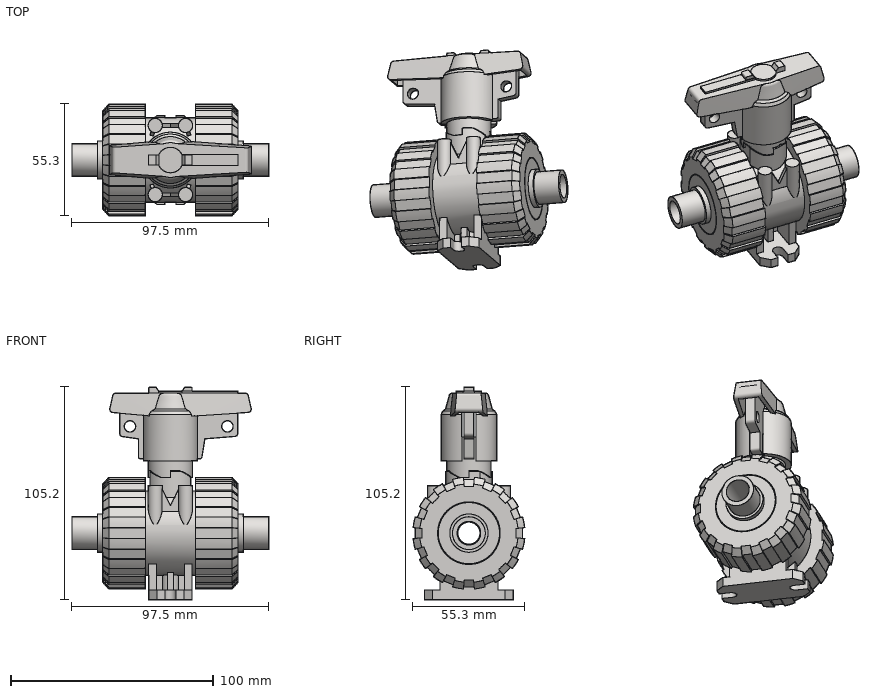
import cadquery as cq
import math

overall_length = 97.5
overall_height = 105.17
base_bottom = -33.0
handle_top = base_bottom + overall_height
body_bore_diameter = 10.9
connector_bore_diameter = 11.7

barrel_diameter = 41.97
barrel_half_length = 24.0
neck_diameter = 23.1
neck_flat_width = 20.2
column_diameter = 7.0
column_top = 23.45
column_x = 7.5
column_y = 17.1
web_thickness = 1.8
notch_apex = 13.6
notch_half_width = 4.9
gusset_length = 5.9
gusset_top = 20.5
gusset_foot = 16.0
gusset_direction = (0.34, -0.94)

cam_low = 27.4
cam_high = 30.9
cam_gap = 0.4
cam_count = 4
cam_mid_angle = 46.0
cam_ramp_half_width = 4.1

foot_half_x = 10.8
foot_half_y = 22.0
foot_thickness = 4.9
foot_chamfer = 4.1
slot_diameter = 5.5
slot_center_y = 16.5
leg_inner_x = 7.0
leg_half_y = 14.4
boss_diameter = 8.6
rib_thickness = 3.1
rib_half_y = 8.0

nut_inner_x = 12.35
nut_outer_x = 33.55
nut_segments = 32
segment_angle = 360.0 / nut_segments
nut_core_radius = 26.7
nut_tooth_radius = 27.76
nut_chamfer_length = 3.1
nut_chamfer_depth = 3.4
nut_lip_diameter = 31.0

connector_diameter = 30.3
collar_diameter = 18.95
collar_outer_x = 36.1
pipe_diameter = 16.25

stem_diameter = 22.0
stem_top = 47.6
hub_radius = 13.8
hub_bottom = 35.7
hub_shoulder_bottom = 58.8
hub_shoulder_top = 61.4
hub_shoulder_edge_radius = 12.85
hub_shoulder_edge_z = 60.4
cone_base_radius = 11.6
cone_top_radius = 9.8
cone_crown_radius = 8.6
cone_crown_bottom = 68.0
bar_top = 69.3
bar_bottom = 58.0
bar_end_bottom = 59.8
bar_slope_left_x = -10.5
bar_slope_right_x = 13.0
bar_left_x = -30.4
bar_right_x = 40.4
bar_end_lean = 2.1
bar_left_half_y = 7.45
bar_right_narrowing = 0.3
bar_middle_half_y = 9.85
bar_top_left_half_y = 6.15
bar_top_middle_half_y = 8.3
bar_edge_radius = 1.7
bar_wall = 2.0
bar_roof = 3.0
hub_slot_width = 7.0
fin_thickness = 5.0
fin_left_x = -25.1
fin_right_x = 33.4
lug_bottom = 47.9
lug_root = 46.6
skirt_bottom = 36.7
skirt_left_x = -15.9
skirt_right_x = 15.5
lug_root_right_x = 17.1
fin_hole_diameter = 5.5
fin_hole_z = 52.8
fin_hole_left_x = -20.0
fin_hole_right_x = 28.2
fin_corner_radius = 1.2
lug_corner_radius = 1.6
disc_diameter = 12.6
raised_top = 70.3
tab_inner_x = 5.7
tab_crest_x = 7.1
tab_outer_x = 10.8
tab_width = 5.0
tab_edge_radius = 0.6
strip_width = 5.6

far = 100.0
margin = 0.1
overlap = 1.0


def x_cylinder(diameter, x_start, x_end):
    """Solid cylinder on the pipe axis between two X positions."""
    return cq.Workplane("YZ", origin=(x_start, 0, 0)).circle(diameter / 2).extrude(x_end - x_start)


def z_cylinder(diameter, bottom, top, x=0, y=0):
    """Solid upright cylinder between two heights."""
    return cq.Workplane("XY", origin=(x, y, bottom)).circle(diameter / 2).extrude(top - bottom)


def block(x_range, y_range, z_range):
    """Axis-aligned block given by its limits."""
    lengths = [high - low for low, high in (x_range, y_range, z_range)]
    corner = (x_range[0], y_range[0], z_range[0])
    return cq.Workplane("XY").box(*lengths, centered=False).translate(corner)


def xz_plate(points, thickness, y=0):
    """Polygon in the XZ plane, extruded evenly to both sides of the given Y."""
    return cq.Workplane("XZ", origin=(0, y, 0)).polyline(points).close().extrude(thickness / 2, both=True)


def make_cam_teeth(radius):
    """Four teeth on top of the neck, each with a steep step and a planar ramp."""
    profile = [
        (-radius, cam_low),
        (-radius, cam_high),
        (-cam_ramp_half_width, cam_high),
        (cam_ramp_half_width, cam_low),
    ]
    quarter = block((0, radius), (0, radius), (cam_low, cam_high))
    ramp = cq.Workplane("XZ").polyline(profile).close().extrude(radius)
    tooth = ramp.rotate((0, 0, 0), (0, 0, 1), 90 + cam_mid_angle).intersect(quarter)
    tooth = tooth.intersect(z_cylinder(2 * radius, cam_low, cam_high))
    teeth = tooth
    for index in range(1, cam_count):
        teeth = teeth.union(tooth.rotate((0, 0, 0), (0, 0, 1), index * 360 / cam_count))
    return teeth


def make_neck():
    """Round neck with two flats, topped by the cam teeth, whose crests stop short of the stem."""
    valleys = z_cylinder(2 * neck_diameter, cam_low, cam_high).cut(make_cam_teeth(neck_diameter))
    neck = z_cylinder(neck_diameter, 0, cam_high - cam_gap).cut(valleys)
    half_flat = neck_flat_width / 2
    return neck.intersect(block((-half_flat, half_flat), (-far, far), (0, far)))


def make_gusset():
    """Small sloping rib that leans on the column at +X, +Y and points toward the neck."""
    profile = [
        (0, 0),
        (gusset_length, 0),
        (gusset_length, gusset_foot),
        (column_diameter / 2, gusset_top),
        (0, gusset_top),
    ]
    angle = math.degrees(math.atan2(gusset_direction[1], gusset_direction[0]))
    gusset = xz_plate(profile, web_thickness).rotate((0, 0, 0), (0, 0, 1), angle)
    return gusset.translate((column_x, column_y, 0))


def make_columns():
    """Two columns and a V-notched web on the +Y side, mirrored to -Y."""
    web_profile = [
        (-column_x, 0),
        (column_x, 0),
        (column_x, column_top),
        (notch_half_width, column_top),
        (0, notch_apex),
        (-notch_half_width, column_top),
        (-column_x, column_top),
    ]
    side = xz_plate(web_profile, web_thickness, column_y)
    for x in (-column_x, column_x):
        side = side.union(z_cylinder(column_diameter, 0, column_top, x, column_y))
    gusset = make_gusset()
    side = side.union(gusset).union(gusset.mirror("YZ"))
    return side.union(side.mirror("XZ"))


def make_foot():
    """Slotted base plate with two legs, a boss and crossing ribs below the barrel."""
    foot_top = base_bottom + foot_thickness
    plate = block((-foot_half_x, foot_half_x), (-foot_half_y, foot_half_y), (base_bottom, foot_top))
    plate = plate.edges("|Z").chamfer(foot_chamfer)
    slot_radius = slot_diameter / 2
    for side in (-1, 1):
        y_limits = sorted((side * slot_center_y, side * far))
        slot = block((-slot_radius, slot_radius), y_limits, (-far, 0))
        slot = slot.union(z_cylinder(slot_diameter, -far, 0, 0, side * slot_center_y))
        plate = plate.cut(slot)
    foot = plate
    rise = (foot_top - overlap, 0)
    for x_range in ((-foot_half_x, -leg_inner_x), (leg_inner_x, foot_half_x)):
        foot = foot.union(block(x_range, (-leg_half_y, leg_half_y), rise))
    half_rib = rib_thickness / 2
    foot = foot.union(block((-leg_inner_x, leg_inner_x), (-half_rib, half_rib), rise))
    foot = foot.union(block((-half_rib, half_rib), (-rib_half_y, rib_half_y), rise))
    return foot.union(z_cylinder(boss_diameter, *rise))


def make_valve_body():
    barrel = x_cylinder(barrel_diameter, -barrel_half_length, barrel_half_length)
    solid = barrel.union(make_neck()).union(make_columns()).union(make_foot())
    return solid.cut(x_cylinder(body_bore_diameter, -far, far))


def make_nut():
    """Nut on the +X side: a faceted core with taller teeth on every other facet."""
    chamfer_x = nut_outer_x - nut_chamfer_length
    facet_turn = segment_angle / 2
    core = (
        cq.Workplane("YZ", origin=(nut_inner_x, 0, 0))
        .transformed(rotate=(0, 0, facet_turn))
        .polygon(nut_segments, 2 * nut_core_radius)
        .extrude(chamfer_x - nut_inner_x)
    )
    rim = (
        cq.Workplane("YZ", origin=(chamfer_x, 0, 0))
        .transformed(rotate=(0, 0, facet_turn))
        .polygon(nut_segments, 2 * nut_core_radius)
        .workplane(offset=nut_chamfer_length)
        .polygon(nut_segments, 2 * (nut_core_radius - nut_chamfer_depth))
        .loft(ruled=True)
    )
    nut = core.union(rim)

    tooth_root = nut_lip_diameter / 2 + overlap
    tooth_profile = [
        (nut_inner_x, tooth_root),
        (nut_inner_x, nut_tooth_radius),
        (chamfer_x, nut_tooth_radius),
        (nut_outer_x, nut_tooth_radius - nut_chamfer_depth),
        (nut_outer_x, tooth_root),
    ]
    tooth = cq.Workplane("XY").polyline(tooth_profile).close().revolve(segment_angle, (0, 0, 0), (1, 0, 0))
    for index in range(nut_segments // 2):
        start_angle = segment_angle * (2 * index + 0.5)
        nut = nut.union(tooth.rotate((0, 0, 0), (1, 0, 0), start_angle))

    nut = nut.cut(x_cylinder(barrel_diameter, 0, barrel_half_length))
    return nut.cut(x_cylinder(nut_lip_diameter, 0, far))


def make_connector():
    """Connector on the +X side: sleeve inside the nut, collar and pipe spigot."""
    connector = x_cylinder(connector_diameter, barrel_half_length, nut_outer_x)
    connector = connector.union(x_cylinder(collar_diameter, barrel_half_length, collar_outer_x))
    connector = connector.union(x_cylinder(pipe_diameter, barrel_half_length, overall_length / 2))
    return connector.cut(x_cylinder(connector_bore_diameter, 0, far))


def bar_outline(plane, left, right, left_half_y, middle_half_y):
    """Six-sided plan outline of the bar, widest at the handle axis."""
    right_half_y = left_half_y - bar_right_narrowing
    points = [
        (left, -left_half_y),
        (0, -middle_half_y),
        (right, -right_half_y),
        (right, right_half_y),
        (0, middle_half_y),
        (left, left_half_y),
    ]
    return plane.polyline(points).close()


def make_bar_block(inset, roof):
    """Bar with tapered sides, moved in by the inset and kept below the roof."""
    ends = (bar_left_x + inset, bar_right_x - inset)
    lower = bar_outline(
        cq.Workplane("XY", origin=(0, 0, bar_bottom)),
        *ends,
        bar_left_half_y - inset,
        bar_middle_half_y - inset,
    )
    upper = bar_outline(
        lower.workplane(offset=bar_top - roof - bar_bottom),
        *ends,
        bar_top_left_half_y - inset,
        bar_top_middle_half_y - inset,
    )
    return upper.loft(ruled=True)


def make_bar():
    """Hollow grip bar, open below, with leaning ends and an underside that rises toward them."""
    side_profile = [
        (bar_left_x, bar_end_bottom),
        (bar_slope_left_x, bar_bottom),
        (bar_slope_right_x, bar_bottom),
        (bar_right_x, bar_end_bottom),
        (bar_right_x - bar_end_lean, bar_top),
        (bar_left_x + bar_end_lean, bar_top),
    ]
    side_plate = xz_plate(side_profile, far)
    for corner in ("<X", ">X", ">Z"):
        side_plate = side_plate.edges("|Y").edges(corner).fillet(bar_edge_radius)
    pocket = make_bar_block(bar_wall, bar_roof)
    return make_bar_block(0, 0).intersect(side_plate).cut(pocket)


def make_hub():
    """Turned hub: straight skirt, bevelled shoulder, cone and rounded crown."""
    return (
        cq.Workplane("XZ")
        .moveTo(0, hub_bottom)
        .lineTo(hub_radius, hub_bottom)
        .lineTo(hub_radius, hub_shoulder_bottom)
        .lineTo(hub_shoulder_edge_radius, hub_shoulder_edge_z)
        .lineTo(cone_base_radius, hub_shoulder_top)
        .lineTo(cone_top_radius, cone_crown_bottom)
        .tangentArcPoint((cone_crown_radius, bar_top), relative=False)
        .lineTo(0, bar_top)
        .close()
        .revolve(360, (0, 0, 0), (0, 1, 0))
    )


def make_fin():
    """Thin vertical plate along X with a lug and a hole at each end."""
    fin_top = bar_top - bar_roof
    profile = [
        (fin_left_x, fin_top),
        (fin_left_x, lug_bottom),
        (skirt_left_x, lug_root),
        (skirt_left_x, skirt_bottom),
        (skirt_right_x, skirt_bottom),
        (lug_root_right_x, lug_root),
        (fin_right_x, lug_bottom),
        (fin_right_x, fin_top),
    ]
    fin = xz_plate(profile, fin_thickness)
    fin = fin.edges("|Y").edges("<Z").fillet(fin_corner_radius)
    lug_corners = cq.selectors.BoxSelector((-far, -far, lug_root + margin), (far, far, lug_bottom + margin))
    fin = fin.edges("|Y").edges(lug_corners).fillet(lug_corner_radius)
    for x in (fin_hole_left_x, fin_hole_right_x):
        hole = cq.Workplane("XZ", origin=(x, 0, fin_hole_z)).circle(fin_hole_diameter / 2)
        fin = fin.cut(hole.extrude(far, both=True))
    return fin


def make_top_marks():
    """Raised disc, long strip and two pointer tabs on top of the bar."""
    root = bar_top - overlap
    half_strip = strip_width / 2
    marks = z_cylinder(disc_diameter, root, raised_top)
    marks = marks.union(block((0, fin_right_x), (-half_strip, half_strip), (root, raised_top)))
    tab_profile = [
        (tab_inner_x, root),
        (tab_outer_x, root),
        (tab_outer_x, handle_top),
        (tab_crest_x, handle_top),
        (tab_inner_x, raised_top),
    ]
    tab = xz_plate(tab_profile, tab_width)
    tab = tab.edges("|Y").edges(">X and >Z").fillet(tab_edge_radius)
    return marks.union(tab).union(tab.mirror("YZ"))


def make_handle():
    half_slot = hub_slot_width / 2
    slot = block((-far, far), (-half_slot, half_slot), (hub_bottom, bar_top - bar_roof))
    stem = z_cylinder(stem_diameter, cam_low, stem_top).cut(make_cam_teeth(neck_diameter / 2))
    handle = make_hub().cut(slot).union(stem)
    return handle.union(make_bar()).union(make_fin()).union(make_top_marks())


valve_body = make_valve_body()
handle = make_handle()
nut = make_nut()
connector = make_connector()
nuts = [nut.rotate((0, 0, 0), (0, 0, 1), turn) for turn in (0, 180)]
connectors = [connector.rotate((0, 0, 0), (0, 0, 1), turn) for turn in (0, 180)]

end_parts = [part.val() for part in nuts + connectors]
result = cq.Compound.makeCompound([valve_body.val(), handle.val(), *end_parts])